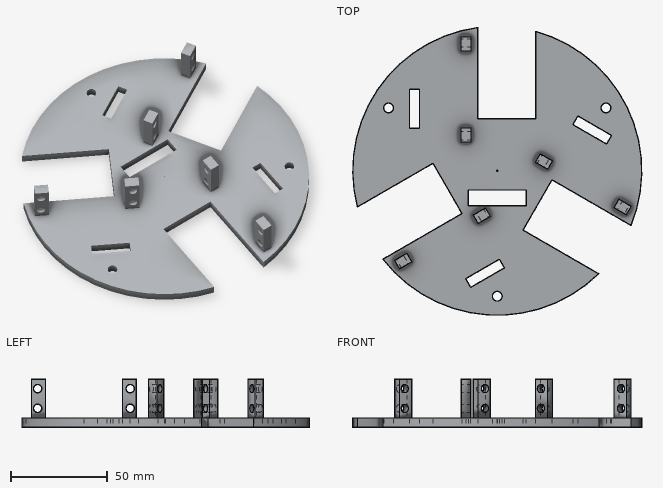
import cadquery as cq

plate_radius = 74.8
plate_thickness = 5.0
center_hole_diameter = 0.5

bay_left = -10.0
bay_width = 30.0
bay_inner = 27.0

post_width = 5.1
post_length = 7.3
post_height = 20.0
post_center_x = -16.2
outer_post_y = 65.5
inner_post_y = 18.5

screw_diameter = 4.2
screw_offset = 0.5
screw_end_distance = 5.0

slot_width = 5.1
slot_length = 20.0
slot_center = (-42.8, 32.0)
mount_hole_diameter = 5.0
mount_hole_radius = 65.0

window_length = 30.0
window_width = 8.1
window_center_y = -14.0

sector_angles = [0, 120, 240]


def repeat_by_sector(shape):
    """Combine copies of a shape turned about the plate axis, one per sector."""
    copies = cq.Workplane()
    for angle in sector_angles:
        copies = copies.add(shape.rotate((0, 0, 0), (0, 0, 1), angle))
    return copies.combine()


def plate_cutter(length_x, length_y, center):
    """Rectangular block reaching through the plate."""
    return cq.Workplane().center(*center).rect(length_x, length_y).extrude(plate_thickness)


def make_post(center_y, screw_y):
    """Upright post with two screw holes along X."""
    post = (
        cq.Workplane(origin=(post_center_x, center_y, plate_thickness))
        .rect(post_width, post_length)
        .extrude(post_height)
    )
    low_screw_z = plate_thickness + screw_end_distance
    high_screw_z = plate_thickness + post_height - screw_end_distance
    screws = (
        cq.Workplane("YZ", origin=(post_center_x, 0, 0))
        .pushPoints([(screw_y, low_screw_z), (screw_y, high_screw_z)])
        .circle(screw_diameter / 2)
        .extrude(post_width, both=True)
    )
    return post.cut(screws)


plate = cq.Workplane().circle(plate_radius).circle(center_hole_diameter / 2).extrude(plate_thickness)

bay_length = plate_radius - bay_inner
bay = plate_cutter(bay_width, bay_length, (bay_left + bay_width / 2, bay_inner + bay_length / 2))
slot = plate_cutter(slot_width, slot_length, slot_center)
mount_hole = (
    cq.Workplane()
    .center(0, -mount_hole_radius)
    .circle(mount_hole_diameter / 2)
    .extrude(plate_thickness)
)
for opening in (bay, slot, mount_hole):
    plate = plate.cut(repeat_by_sector(opening))

plate = plate.cut(plate_cutter(window_length, window_width, (0, window_center_y)))

outer_post = make_post(outer_post_y, outer_post_y + screw_offset)
inner_post = make_post(inner_post_y, inner_post_y - screw_offset)
result = plate.union(repeat_by_sector(outer_post)).union(repeat_by_sector(inner_post))